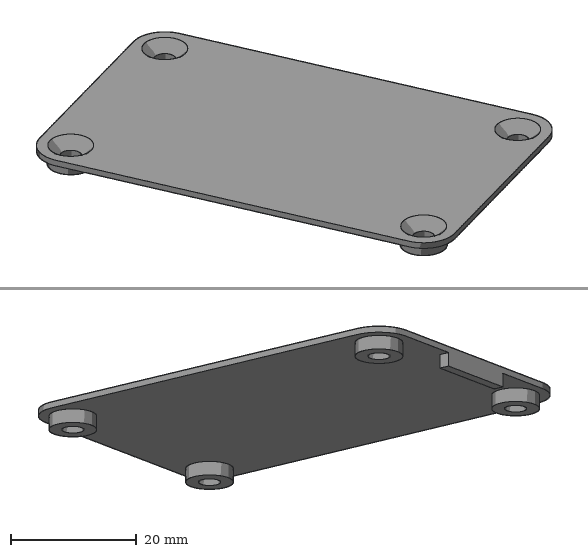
import cadquery as cq

length = 73.0
width = 46.0
plate_thickness = 1.0
corner_radius = 5.5

total_height = 3.3
boss_height = total_height - plate_thickness
boss_diameter = 7.6
hole_diameter = 3.5
countersink_diameter = 7.3
countersink_angle = 90.0
hole_spacing_x = length - 2 * corner_radius
hole_spacing_y = width - 2 * corner_radius

tab_length = 1.75
tab_width = 13.95
tab_center_y = -0.4


def cover_plate():
    """Rounded plate with its underside on Z = 0."""
    plate = cq.Workplane("XY").box(length, width, plate_thickness, centered=(True, True, False))
    return plate.edges("|Z").fillet(corner_radius)


def screw_bosses():
    """Four round bosses hanging below the plate."""
    return (
        cq.Workplane("XY")
        .rarray(hole_spacing_x, hole_spacing_y, 2, 2)
        .circle(boss_diameter / 2)
        .extrude(-boss_height)
    )


def locating_tab():
    """Rectangular tab hanging below the -X edge, slightly off its middle."""
    tab = cq.Workplane("XY").box(tab_length, tab_width, boss_height, centered=(False, True, False))
    return tab.translate((-length / 2, tab_center_y, -boss_height))


body = cover_plate().union(screw_bosses()).union(locating_tab())

result = (
    body.faces(">Z")
    .workplane(origin=(0, 0, plate_thickness))
    .rarray(hole_spacing_x, hole_spacing_y, 2, 2)
    .cskHole(hole_diameter, countersink_diameter, countersink_angle)
)